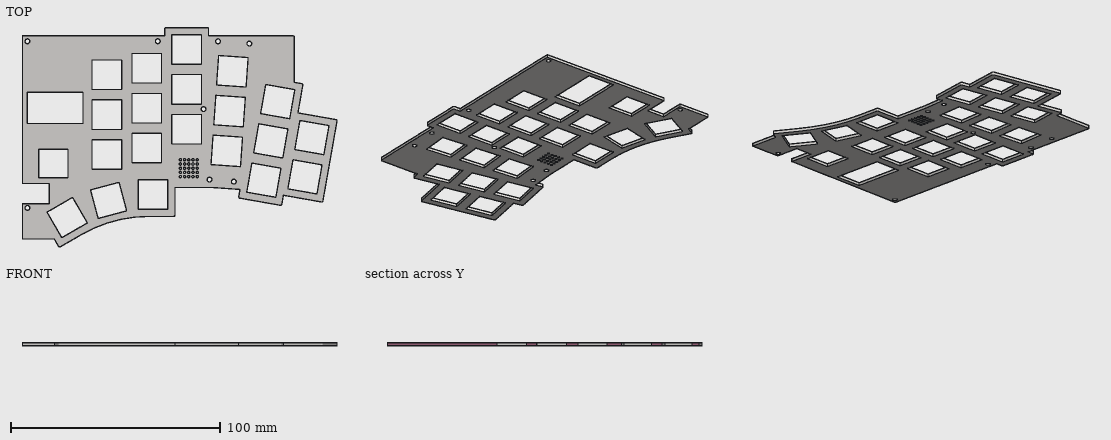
import cadquery as cq
import math


thickness = 1.5
plate_right = 129.9
plate_top = 97.15
lower_edge_y = 24.6
lower_edge_bend_x = 91.0

switch_size = 14.0
cell_half = 10.5
pitch = 19.05
rows = 3
corner_radius = 0.75

first_column_x = 40.33
column_1 = (first_column_x, 59.48, 0)
column_2 = (first_column_x + pitch, 62.55, 0)
column_3 = (first_column_x + 2 * pitch, 71.52, 0)
column_4 = (98.92, 61.17, -4)
column_5 = (118.6, 46.93, -10)
main_columns = (column_1, column_2, column_3, column_4, column_5)

outer_rows = 2
outer_column_drop = 4.55

thumb_fan_x = 62.39
thumb_top_y = 21.32
thumb_fan_radius = 82.0
thumb_fan_y = thumb_top_y - thumb_fan_radius
thumb_tilts = (0, 15, 30)
last_thumb_tilt = thumb_tilts[-1]
thumb_rim_arc_radius = 64.0

display_center = (15.64, 62.7)
display_size = (26.5, 14.7)
encoder_center = (14.8, 36.15)
encoder_size = (13.9, 13.5)
notch_depth = 12.8
notch_bottom = 17.0
notch_top = 26.55

screw_diameter = 2.2
screw_centers = (
    (2.4, 94.5),
    (64.65, 94.5),
    (93.4, 94.5),
    (108.35, 93.4),
    (86.5, 62.1),
    (89.35, 28.45),
    (100.95, 27.5),
    (2.4, 14.95),
)
vent_diameter = 1.0
vent_count = 5
vent_pitch = 2.0
vent_center = (79.45, 33.9)


def place(frame, right, up):
    """Point at (right, up) in a frame given as (x, y, tilt)."""
    x, y, tilt = frame
    c = math.cos(math.radians(tilt))
    s = math.sin(math.radians(tilt))
    return (x + right * c - up * s, y + right * s + up * c)


def thumb_frame(tilt):
    """Position and tilt of the thumb key at the given fan angle."""
    x, y = place((thumb_fan_x, thumb_fan_y, tilt), 0, thumb_fan_radius)
    return (x, y, tilt)


def block(frame, width, height):
    """Plate-thick rectangular block centred on a frame."""
    x, y, tilt = frame
    box = cq.Workplane("XY").box(width, height, thickness, centered=(True, True, False))
    return box.rotate((0, 0, 0), (0, 0, 1), tilt).translate((x, y, 0))


def column_keys(column, count):
    """Frames of the keys in a column, spread evenly about its middle."""
    keys = []
    for row in range(count):
        up = (row - (count - 1) / 2) * pitch
        keys.append((*place(column, 0, up), column[2]))
    return keys


def column_rim(column, count):
    """Rounded block carrying all the keys of a column."""
    height = (count - 1) * pitch + 2 * cell_half
    return block(column, 2 * cell_half, height).edges("|Z").fillet(corner_radius)


def main_plate():
    """Straight-edged body, with the sloped part of its lower edge ending inside column 5."""
    bottom_key = place(column_5, 0, -pitch)
    top_key = place(column_5, 0, pitch)
    slope = math.tan(math.radians(column_4[2]))
    slope_end_y = lower_edge_y + (bottom_key[0] - lower_edge_bend_x) * slope
    thumb_end = thumb_frame(last_thumb_tilt)
    points = [
        (0, 0),
        (thumb_end[0], 0),
        (thumb_end[0], thumb_end[1]),
        (thumb_fan_x, thumb_top_y),
        (thumb_fan_x, lower_edge_y),
        (lower_edge_bend_x, lower_edge_y),
        (bottom_key[0], slope_end_y),
        (plate_right, top_key[1]),
        (plate_right, plate_top),
        (0, plate_top),
    ]
    body = cq.Workplane("XY").polyline(points).close().extrude(thickness)
    return body.edges("|Z and >X and >Y").fillet(corner_radius)


def thumb_rim():
    """Lower rim of the thumb fan: straight under the end cells, joined by a tangent arc."""
    first = thumb_frame(0)
    last = thumb_frame(last_thumb_tilt)
    half_angle = math.radians(last_thumb_tilt / 2)
    rim_radius = thumb_fan_radius - cell_half
    straight = (rim_radius - thumb_rim_arc_radius) * math.tan(half_angle)
    arc_top = thumb_rim_arc_radius + (rim_radius - thumb_rim_arc_radius) / math.cos(half_angle)
    arc_start = place(last, straight, -cell_half)
    arc_middle = place((thumb_fan_x, thumb_fan_y, last_thumb_tilt / 2), 0, arc_top)
    arc_end = place(first, -straight, -cell_half)
    end_corner = place(last, -cell_half, -cell_half)
    start_corner = place(first, cell_half, -cell_half)
    rim = (
        cq.Workplane("XY")
        .moveTo(*end_corner)
        .lineTo(*arc_start)
        .threePointArc(arc_middle, arc_end)
        .lineTo(*start_corner)
        .lineTo(start_corner[0], lower_edge_y)
        .lineTo(first[0], lower_edge_y)
        .lineTo(*place(last, -cell_half, cell_half))
        .close()
        .extrude(thickness)
    )
    for corner in (end_corner, start_corner):
        edge = cq.selectors.NearestToPointSelector((*corner, thickness / 2))
        rim = rim.edges(edge).fillet(corner_radius)
    return rim


def round_holes(centers, diameter):
    return cq.Workplane("XY").pushPoints(centers).circle(diameter / 2).extrude(thickness)


outer_column = (*place(column_5, pitch, -outer_column_drop), column_5[2])

result = main_plate().union(thumb_rim())
result = result.union(column_rim(column_3, rows))
result = result.union(column_rim(column_5, rows))
result = result.union(column_rim(outer_column, outer_rows))

switch_frames = [thumb_frame(tilt) for tilt in thumb_tilts]
switch_frames += column_keys(outer_column, outer_rows)
for column in main_columns:
    switch_frames += column_keys(column, rows)
for frame in switch_frames:
    result = result.cut(block(frame, switch_size, switch_size))

result = result.cut(block((*display_center, 0), *display_size))
result = result.cut(block((*encoder_center, 0), *encoder_size))
notch_frame = (notch_depth / 2, (notch_bottom + notch_top) / 2, 0)
result = result.cut(block(notch_frame, notch_depth, notch_top - notch_bottom))

result = result.cut(round_holes(screw_centers, screw_diameter))
vents = cq.Workplane("XY").center(*vent_center).rarray(vent_pitch, vent_pitch, vent_count, vent_count)
result = result.cut(vents.circle(vent_diameter / 2).extrude(thickness))